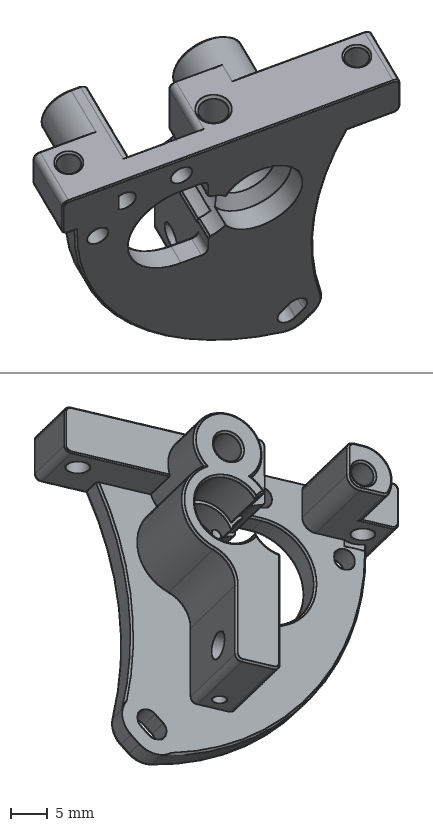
import cadquery as cq
import math


part_depth = 17.5
plate_thickness = 3.5
plate_front = part_depth - plate_thickness
bar_front = 8.0
upper_block_front = 5.0

edge_chamfer = 0.3
bar_edge_chamfer = 0.2
corner_radius = 1.0
overlap = 1.0

bar_length = 51.0
bar_height = 7.1
bar_hole_diameter = 3.4
bar_hole_x = 11.45
bar_hole_ys = (3.8, 47.3)
screw_head_diameter = 6.0
screw_head_depth = 0.95

gap_low_y = 11.8
gap_high_y = 22.0
gap_bottom_radius = 2.0

bore_y = 30.0
axis_z = -15.0
idler_y = 21.5
seat_radius = 5.0
throat_radius = 4.5
seat_depth = 7.7
cone_start = 12.25
cone_end_radius = throat_radius + plate_front - cone_start
lip_half_angle = 56.5
bore_wall_radius = 7.0

upper_block_bottom_z = -11.5

leg_high_y = 28.85
leg_bottom_z = -38.0
leg_blend_radius = 5.0
leg_hole_diameter = 4.0
leg_hole_x = 5.5
leg_hole_z = -33.2

pivot_boss_radius = 5.25
pivot_z = -pivot_boss_radius
pivot_hole_diameter = 4.2
pivot_hole_depth = 10.0
drill_tip_angle = 118.0

spring_boss_radius = 4.5
spring_y = 9.4
spring_z = -spring_boss_radius
spring_hole_diameter = 3.4
spring_stop_y = 8.54

filament_y = 25.66
filament_diameter = 2.1
tube_diameter = 4.2
tube_depth = 6.0
tube_chamfer = 0.4

outer_arc_y = 41.86
outer_arc_z = -8.15
inner_arc_y = 89.65
inner_arc_z = -29.86
tip_radius = 3.9
plate_top_z = -bar_height / 2
opening_y = 17.9
opening_radius = 8.0
motor_hole_diameter = 3.2
motor_holes = ((18.0, -3.5), (5.35, -10.1))
slot_upper = (35.36, -42.2)
slot_lower = (34.1, -43.33)


def prism(sketch_plane_x):
    """Workplane facing +X at the given depth; its local axes are Y and Z."""
    return cq.Workplane("YZ", origin=(sketch_plane_x, 0, 0))


def disc(x_start, x_end, y, z, radius):
    return prism(x_start).center(y, z).circle(radius).extrude(x_end - x_start)


def cone(x_start, x_end, y, z, start_radius, end_radius):
    height = x_end - x_start
    solid = cq.Solid.makeCone(start_radius, end_radius, height, cq.Vector(x_start, y, z), cq.Vector(1, 0, 0))
    return cq.Workplane(solid)


def box(x_range, y_range, z_range):
    sizes = [high - low for low, high in (x_range, y_range, z_range)]
    return cq.Workplane().box(*sizes, centered=False).translate((x_range[0], y_range[0], z_range[0]))


def vertical_hole(x, y, radius, z_top, z_bottom):
    return cq.Workplane("XY", origin=(x, y, z_bottom)).circle(radius).extrude(z_top - z_bottom)


def top_chamfer(x, y, radius, size):
    """45 degree break at the rim of a vertical hole in the top face."""
    centre = cq.Vector(x, y, -size)
    solid = cq.Solid.makeCone(radius, radius + size, size, centre, cq.Vector(0, 0, 1))
    return cq.Workplane(solid)


def front_chamfer(y, z, radius):
    """45 degree break at the rim of a hole in the front face."""
    return cone(0, edge_chamfer, y, z, radius + edge_chamfer, radius)


def toward(start, target, distance):
    """Point at a distance from start on the line to target."""
    ratio = distance / math.dist(start, target)
    return tuple(a + ratio * (b - a) for a, b in zip(start, target))


def on_circle(centre, radius, degrees):
    angle = math.radians(degrees)
    return centre[0] + radius * math.cos(angle), centre[1] + radius * math.sin(angle)


def angle_to(centre, point):
    return math.degrees(math.atan2(point[1] - centre[1], point[0] - centre[0])) % 360


def circle_arc(sketch, centre, radius, start, end):
    """Continue the sketch to end along a circle, given where the arc starts."""
    middle_angle = (angle_to(centre, start) + angle_to(centre, end)) / 2
    return sketch.threePointArc(on_circle(centre, radius, middle_angle), end)


def slot_outline(radius):
    """Slot shape on the plate's front face with ends of the given radius."""
    centre = [(a + b) / 2 for a, b in zip(slot_upper, slot_lower)]
    length = math.dist(slot_upper, slot_lower) + 2 * radius
    return prism(plate_front).center(*centre).slot2D(length, 2 * radius, angle_to(slot_lower, slot_upper))


def make_plate():
    """Fin-shaped plate; its tip is rounded concentric with the motor slot and has a square front edge."""
    outer_centre = (outer_arc_y, outer_arc_z)
    inner_centre = (inner_arc_y, inner_arc_z)
    outer_radius = math.dist(outer_centre, slot_lower) + tip_radius
    inner_radius = math.dist(inner_centre, slot_upper) - tip_radius

    outer_top = (outer_arc_y - math.sqrt(outer_radius**2 - (plate_top_z - outer_arc_z) ** 2), plate_top_z)
    inner_top = (inner_arc_y - math.sqrt(inner_radius**2 - (plate_top_z - inner_arc_z) ** 2), plate_top_z)
    outer_end = toward(outer_centre, slot_lower, outer_radius)
    inner_end = toward(slot_upper, inner_centre, tip_radius)
    slot_angle = angle_to(slot_lower, slot_upper)
    tip_low = on_circle(slot_lower, tip_radius, slot_angle - 90)
    tip_high = on_circle(slot_upper, tip_radius, slot_angle - 90)

    outline = prism(plate_front).moveTo(*outer_top)
    outline = circle_arc(outline, outer_centre, outer_radius, outer_top, outer_end)
    outline = circle_arc(outline, slot_lower, tip_radius, outer_end, tip_low)
    outline = outline.lineTo(*tip_high)
    tip_middle = on_circle(slot_upper, tip_radius, (slot_angle - 90 + angle_to(slot_upper, inner_end)) / 2)
    outline = outline.threePointArc(tip_middle, inner_end)
    outline = circle_arc(outline, inner_centre, inner_radius, inner_end, inner_top)
    plate = outline.close().extrude(plate_thickness)
    plate = plate.faces("<X or >X").chamfer(edge_chamfer)
    return plate.union(slot_outline(tip_radius).extrude(edge_chamfer))


def make_bar():
    bar = box((bar_front, part_depth), (0, bar_length), (-bar_height, 0))
    bar = bar.edges("|X").fillet(corner_radius)
    return bar.faces("<X or >X").chamfer(bar_edge_chamfer)


def make_opening():
    """D-shaped window in the plate, flared at the plate's front face."""
    top_z = axis_z + opening_radius
    bottom_z = axis_z - opening_radius
    window = (
        prism(plate_front)
        .moveTo(opening_y, top_z)
        .threePointArc((opening_y - opening_radius, axis_z), (opening_y, bottom_z))
        .lineTo(gap_high_y, bottom_z)
        .lineTo(gap_high_y, top_z)
        .close()
        .extrude(plate_thickness)
    )
    window = window.edges("|X and >Y").fillet(corner_radius)
    flare = window.faces("<X").wires().toPending().offset2D(edge_chamfer)
    flare = flare.extrude(edge_chamfer, taper=45)
    return window.union(flare)


def make_bore_body():
    """Pivot boss, bore wall and leg as one body with a broken front edge."""
    depth = plate_front + edge_chamfer
    blend_y = leg_high_y + leg_blend_radius
    blend_drop = math.sqrt((bore_wall_radius + leg_blend_radius) ** 2 - (blend_y - bore_y) ** 2)
    blend_centre = (blend_y, axis_z - blend_drop)
    blend_start = toward(blend_centre, (bore_y, axis_z), leg_blend_radius)
    blend_end = (leg_high_y, blend_centre[1])

    leg = prism(0).moveTo(gap_high_y, axis_z).lineTo(bore_y, axis_z).lineTo(*blend_start)
    leg = circle_arc(leg, blend_centre, leg_blend_radius, blend_start, blend_end)
    leg = leg.lineTo(leg_high_y, leg_bottom_z).lineTo(gap_high_y, leg_bottom_z).close().extrude(depth)
    leg = leg.edges("|X and <Z").fillet(corner_radius)

    body = leg.union(disc(0, depth, bore_y, axis_z, bore_wall_radius))
    body = body.union(disc(0, depth, bore_y, pivot_z, pivot_boss_radius))
    return body.faces("<X").chamfer(edge_chamfer)


def make_upper_block():
    """Block between the bar and the bore, on the +Y side of the gap."""
    x_range = (upper_block_front, plate_front + edge_chamfer)
    return box(x_range, (gap_high_y, bore_y), (upper_block_bottom_z, 0))


def gap_profile(x_start, x_end):
    """Gap in the bar: rounded upper rims and a larger round below the spring boss."""
    low_round_z = -bar_height + gap_bottom_radius
    diagonal = math.sqrt(0.5)
    low_middle = (
        gap_low_y - gap_bottom_radius * (1 - diagonal),
        -bar_height + gap_bottom_radius * (1 - diagonal),
    )
    rim_rise = corner_radius * (1 - diagonal)
    return (
        prism(x_start)
        .moveTo(gap_low_y - gap_bottom_radius, -bar_height)
        .threePointArc(low_middle, (gap_low_y, low_round_z))
        .lineTo(gap_low_y, -corner_radius)
        .threePointArc((gap_low_y - rim_rise, -rim_rise), (gap_low_y - corner_radius, 0))
        .lineTo(gap_high_y + corner_radius, 0)
        .threePointArc((gap_high_y + rim_rise, -rim_rise), (gap_high_y, -corner_radius))
        .lineTo(gap_high_y, -bar_height)
        .close()
        .extrude(x_end - x_start)
    )


def make_spring_boss():
    """Round boss squared off toward the gap and cut level with the bar's underside."""
    depth = bar_front + overlap
    boss = disc(0, depth, spring_y, spring_z, spring_boss_radius)
    boss = boss.union(box((0, depth), (spring_y, gap_low_y), (-bar_height, 0)))
    boss = boss.intersect(box((0, depth), (0, gap_low_y), (-bar_height, 0)))
    boss = boss.cut(gap_profile(0, depth))
    boss = boss.edges("|X").edges("<Y").fillet(corner_radius)
    return boss.faces("<X").chamfer(edge_chamfer)


def make_bore_cut():
    """Bearing seat, narrower throat and a conical flare into the plate."""
    cut = disc(0, seat_depth, bore_y, axis_z, seat_radius)
    cut = cut.union(disc(0, part_depth, bore_y, axis_z, throat_radius))
    cut = cut.union(cone(cone_start, plate_front, bore_y, axis_z, throat_radius, cone_end_radius))
    cut = cut.union(disc(plate_front, part_depth, bore_y, axis_z, cone_end_radius))
    return cut.union(front_chamfer(bore_y, axis_z, seat_radius))


def make_mouth_chamfers(x_start, x_end, radius):
    """Breaks the two edges where an idler recess of this radius meets the gap side."""
    inner_y = gap_high_y + edge_chamfer
    inner_half = math.sqrt(radius**2 - (inner_y - idler_y) ** 2)
    outer_half = math.sqrt(radius**2 - (gap_high_y - idler_y) ** 2) + edge_chamfer
    breaks = None
    for side in (1, -1):
        wedge = (
            prism(x_start)
            .moveTo(gap_high_y, axis_z + side * outer_half)
            .lineTo(inner_y, axis_z + side * inner_half)
            .lineTo(gap_high_y, axis_z + side * inner_half)
            .close()
            .extrude(x_end - x_start)
        )
        breaks = wedge if breaks is None else breaks.union(wedge)
    return breaks


def make_idler_cut():
    """Idler recess; a sector behind the seat keeps a lip of the throat radius."""
    centre = (idler_y, axis_z)
    sector_reach = 2 * bore_wall_radius
    lip = (
        prism(seat_depth)
        .moveTo(*centre)
        .lineTo(*on_circle(centre, sector_reach, lip_half_angle))
        .lineTo(*on_circle(centre, sector_reach, -lip_half_angle))
        .close()
        .extrude(plate_front - seat_depth)
    )
    cut = disc(0, plate_front, *centre, seat_radius).cut(lip)
    cut = cut.union(disc(0, part_depth, *centre, throat_radius))
    cut = cut.union(make_mouth_chamfers(0, plate_front, seat_radius))
    cut = cut.union(make_mouth_chamfers(plate_front, part_depth, throat_radius))
    return cut.union(front_chamfer(*centre, seat_radius))


def cut_bar_holes(part):
    radius = bar_hole_diameter / 2
    for y in bar_hole_ys:
        part = part.cut(vertical_hole(bar_hole_x, y, radius, 0, -bar_height))
        part = part.cut(top_chamfer(bar_hole_x, y, radius, edge_chamfer))
        head_bottom = -bar_height - screw_head_depth
        part = part.cut(vertical_hole(bar_hole_x, y, screw_head_diameter / 2, -bar_height, head_bottom))
    return part


def cut_filament_path(part):
    tube_radius = tube_diameter / 2
    part = part.cut(vertical_hole(bar_hole_x, filament_y, filament_diameter / 2, 0, leg_bottom_z))
    part = part.cut(vertical_hole(bar_hole_x, filament_y, tube_radius, 0, -tube_depth))
    return part.cut(top_chamfer(bar_hole_x, filament_y, tube_radius, tube_chamfer))


def cut_pivot_hole(part):
    radius = pivot_hole_diameter / 2
    tip_length = radius / math.tan(math.radians(drill_tip_angle / 2))
    part = part.cut(disc(0, pivot_hole_depth, bore_y, pivot_z, radius))
    part = part.cut(cone(pivot_hole_depth, pivot_hole_depth + tip_length, bore_y, pivot_z, radius, 0))
    return part.cut(front_chamfer(bore_y, pivot_z, radius))


def cut_spring_hole(part):
    """Hole through the spring boss, part closed by a sloping stop in the plate."""
    radius = spring_hole_diameter / 2
    hole = disc(0, part_depth, spring_y, spring_z, radius)
    stop = (
        cq.Workplane("XY", origin=(0, 0, -bar_height))
        .moveTo(plate_front, spring_y - radius)
        .lineTo(part_depth, spring_stop_y)
        .lineTo(part_depth, spring_y - radius)
        .close()
        .extrude(bar_height)
    )
    return part.cut(hole.cut(stop)).cut(front_chamfer(spring_y, spring_z, radius))


def cut_motor_holes(part):
    radius = motor_hole_diameter / 2
    for y, z in motor_holes:
        part = part.cut(disc(plate_front, part_depth, y, z, radius))
    return part.cut(slot_outline(radius).extrude(plate_thickness))


def cut_leg_hole(part):
    hole = cq.Workplane("XZ", origin=(leg_hole_x, 0, leg_hole_z)).circle(leg_hole_diameter / 2)
    return part.cut(hole.extrude(-bar_length))


result = make_plate().union(make_bar()).cut(make_opening())
result = result.union(make_upper_block()).union(make_bore_body())
result = result.cut(gap_profile(0, plate_front))
result = result.union(make_spring_boss())
result = result.cut(make_bore_cut()).cut(make_idler_cut())
result = cut_bar_holes(result)
result = cut_filament_path(result)
result = cut_pivot_hole(result)
result = cut_spring_hole(result)
result = cut_motor_holes(result)
result = cut_leg_hole(result)